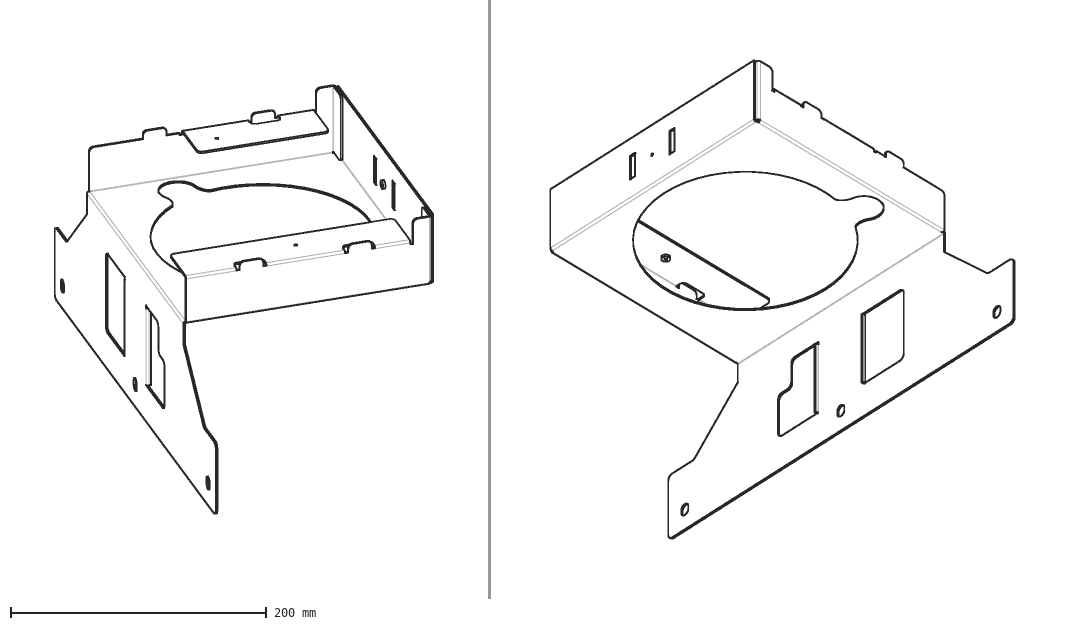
import cadquery as cq
import math


sheet = 1.5
bend_radius = 2.0
total_width = 387
total_depth = 207.5
total_height = 191.0
tray_height = 60.0
tray_half_width = 117.0
corner_radius = 4.0

floor_bottom = total_height - tray_height
floor_top = floor_bottom + sheet
wall_bottom = floor_bottom + bend_radius

plate_half_width = total_width / 2
neck_half_width = 115.7
shoulder_height = 63.5
shoulder_half_width = 165.0
plate_corner_radius = 4.5
plate_top = floor_top - bend_radius
mount_slot_x = 175.0
mount_slot_z = 19.7
mount_slot_width = 7.7
mount_slot_length = 11.0

window_inner = 25.0
window_outer = 70.5
window_bottom = 32.0
window_top = 102.0
step_inner = 55.7
step_height = 74.5
lip_top = 100.0
lip_depth = 4.0

opening_radius = 88.0
opening_y = 105.5
side_notch_x = -94.5
side_notch_y = 68.0
side_notch_radius = 15.5
notch_mouth_half_angle = 12.5
notch_blend_radius = 15.5

shelf_top = 173.0
shelf_inner = 77.5
shelf_back = 187.5
left_shelf_front = 79.0
wall_front = bend_radius
wall_top = shelf_top - bend_radius

tab_centers = (56.0, 146.0)
tab_width = 19.5
tab_top = 178.0
tab_corner_radius = 3.5
cutout_width = 24.8
cutout_depth = 9.3

back_half_width = 114.0
back_gap = 0.8
flange_back = total_depth - sheet - back_gap
flange_inner = 97.0
lug_front = 189.5
relief_width = lug_front - shelf_back
relief_bottom = 169.5
back_slot_x = 22.0
back_slot_z = 162.5
back_slot_width = 5.8
back_slot_height = 23.2

collar_radius = 3.5
collar_height = 2.0
screw_hole_radius = 1.0
shelf_hole_x = 95.0
shelf_hole_y = 100.2
back_hole_z = 161.5


def block(x_range, y_range, z_range):
    """Box between two limits on each axis, given in either order."""
    sizes = [abs(limits[1] - limits[0]) for limits in (x_range, y_range, z_range)]
    lows = [min(limits) for limits in (x_range, y_range, z_range)]
    return cq.Workplane("XY").box(*sizes, centered=False).translate(tuple(lows))


def bend(plane, corner, leg_u, leg_v, start, end):
    """Folded L section; the signed legs run from its outer corner along the plane's axes."""
    sign_u = math.copysign(1, leg_u)
    sign_v = math.copysign(1, leg_v)

    def at(u, v):
        return (corner[0] + sign_u * u, corner[1] + sign_v * v)

    inner_radius = bend_radius - sheet
    outer_mid = bend_radius - bend_radius * math.sqrt(0.5)
    inner_mid = bend_radius - inner_radius * math.sqrt(0.5)
    return (
        cq.Workplane(plane)
        .workplane(offset=start)
        .moveTo(*at(abs(leg_u), 0))
        .lineTo(*at(bend_radius, 0))
        .threePointArc(at(outer_mid, outer_mid), at(0, bend_radius))
        .lineTo(*at(0, abs(leg_v)))
        .lineTo(*at(sheet, abs(leg_v)))
        .lineTo(*at(sheet, bend_radius))
        .threePointArc(at(inner_mid, inner_mid), at(bend_radius, sheet))
        .lineTo(*at(abs(leg_u), sheet))
        .close()
        .extrude(end - start)
    )


def window_cutter(outline):
    """Prism through the mounting plate with every corner rounded except those at the lip."""
    cutter = cq.Workplane("ZX").polyline(outline).close().extrude(sheet)
    near_lip = cq.selectors.BoxSelector(
        (-window_inner - sheet, -4, 0), (window_inner + sheet, 4, total_height)
    )
    rounded = cq.StringSyntaxSelector("|Y") - near_lip
    return cutter.edges(rounded).fillet(plate_corner_radius)


def mounting_plate():
    slope_rise = shoulder_half_width - neck_half_width
    half_outline = [
        (0, plate_half_width),
        (shoulder_height, plate_half_width),
        (shoulder_height, shoulder_half_width),
        (shoulder_height + slope_rise, neck_half_width),
        (plate_top, neck_half_width),
    ]
    other_half = [(z, -x) for z, x in reversed(half_outline)]
    plate = cq.Workplane("ZX").polyline(half_outline + other_half).close().extrude(sheet)
    below_neck = cq.selectors.BoxSelector(
        (-total_width, -4, -4), (total_width, 4, shoulder_height + 4)
    )
    plate = plate.edges("|Y").edges(below_neck).fillet(plate_corner_radius)

    slots = (
        cq.Workplane("ZX")
        .pushPoints([(mount_slot_z, x) for x in (-mount_slot_x, 0, mount_slot_x)])
        .slot2D(mount_slot_length, mount_slot_width)
        .extrude(sheet)
    )
    left_window = window_cutter([
        (window_bottom, -window_inner),
        (window_top, -window_inner),
        (window_top, -window_outer),
        (window_bottom, -window_outer),
    ])
    right_window = window_cutter([
        (window_bottom, window_inner),
        (window_top, window_inner),
        (window_top, step_inner),
        (step_height, step_inner),
        (step_height, window_outer),
        (window_bottom, window_outer),
    ])
    plate = plate.cut(slots).cut(left_window).cut(right_window)

    for side in (-1, 1):
        lip_corner = (side * (window_inner + bend_radius), 0)
        plate = plate.union(
            bend("XY", lip_corner, -side * 2 * bend_radius, lip_depth, window_bottom, lip_top)
        )
    neck_bend = bend(
        "YZ", (0, floor_top), 2 * bend_radius, -2 * bend_radius, -neck_half_width, neck_half_width
    )
    return plate.union(neck_bend)


def tray_floor():
    flat_half_width = tray_half_width - bend_radius
    floor_back = total_depth - bend_radius
    floor = block(
        (-flat_half_width, flat_half_width), (bend_radius, floor_back), (floor_bottom, floor_top)
    )
    return floor.cut(floor_opening())


def floor_opening():
    """Round opening joined to a smaller round notch by a neck with rounded flanks.

    It is drawn about the opening's centre with its U axis pointing at the notch.
    """
    offset_x = side_notch_x
    offset_y = side_notch_y - opening_y
    notch_distance = math.hypot(offset_x, offset_y)
    axes = cq.Plane(
        origin=(0, opening_y, floor_bottom), xDir=(offset_x, offset_y, 0), normal=(0, 0, 1)
    )

    mouth_angle = math.radians(notch_mouth_half_angle)
    mouth_u = opening_radius * math.cos(mouth_angle)
    mouth_v = opening_radius * math.sin(mouth_angle)
    mouth_distance = math.hypot(notch_distance - mouth_u, mouth_v)
    mouth_direction = math.atan2(mouth_v, notch_distance - mouth_u)

    flank_distance = side_notch_radius + notch_blend_radius
    spread = math.acos(
        (flank_distance**2 + mouth_distance**2 - notch_blend_radius**2)
        / (2 * flank_distance * mouth_distance)
    )
    flank_u = notch_distance - flank_distance * math.cos(mouth_direction + spread)
    flank_v = flank_distance * math.sin(mouth_direction + spread)

    neck_outline = [
        (notch_distance, 0),
        (flank_u, flank_v),
        (mouth_u, mouth_v),
        (mouth_u, -mouth_v),
        (flank_u, -flank_v),
    ]
    neck = cq.Workplane(axes).polyline(neck_outline).close().extrude(sheet)
    flanks = (
        cq.Workplane(axes)
        .pushPoints([(flank_u, flank_v), (flank_u, -flank_v)])
        .circle(notch_blend_radius)
        .extrude(sheet)
    )
    opening = cq.Workplane(axes).circle(opening_radius).extrude(sheet)
    notch = cq.Workplane(axes).center(notch_distance, 0).circle(side_notch_radius).extrude(sheet)
    return neck.cut(flanks).union(opening).union(notch)


def screw_collar(workplane):
    """Cylinder standing on the sheet along the workplane's normal."""
    return workplane.circle(collar_radius).extrude(collar_height)


def screw_hole(workplane):
    return workplane.circle(screw_hole_radius).extrude(collar_height + sheet, both=True)


def back_wall():
    wall = bend(
        "YZ",
        (total_depth, floor_bottom),
        -2 * bend_radius,
        tray_height,
        -back_half_width,
        back_half_width,
    )
    slots = (
        cq.Workplane("ZX", origin=(0, total_depth - sheet, 0))
        .pushPoints([(back_slot_z, -back_slot_x), (back_slot_z, back_slot_x)])
        .rect(back_slot_height, back_slot_width)
        .extrude(sheet)
    )
    hole_plane = cq.Workplane("XZ", origin=(0, total_depth - sheet, back_hole_z))
    return wall.cut(slots).union(screw_collar(hole_plane)).cut(screw_hole(hole_plane))


def shelf(side, front):
    """Bent shelf on one side wall, with cut-outs that leave room for the tabs."""
    outer = side * tray_half_width
    inner = side * shelf_inner
    body = bend(
        "ZX",
        (shelf_top, outer),
        -2 * bend_radius,
        inner - outer,
        front,
        shelf_back,
    )
    free_corners = cq.selectors.BoxSelector(
        (inner - sheet, 0, wall_top), (inner + sheet, total_depth, shelf_top + sheet)
    )
    body = body.edges("|Z").edges(free_corners).fillet(corner_radius)
    for center in tab_centers:
        if center > front:
            cutout = block(
                (outer - side * cutout_depth, outer),
                (center - cutout_width / 2, center + cutout_width / 2),
                (wall_top, shelf_top),
            )
            inner_face = ">X" if side < 0 else "<X"
            body = body.cut(cutout.faces(inner_face).edges("|Z").fillet(corner_radius))
    hole_plane = cq.Workplane("XY", origin=(side * shelf_hole_x, shelf_hole_y, shelf_top - sheet))
    collar = screw_collar(hole_plane.transformed(rotate=(180, 0, 0)))
    return body.union(collar).cut(screw_hole(hole_plane))


def side_wall(side):
    """Upright wall with its floor bend, tabs, rear lug and return flange."""
    outer = side * tray_half_width
    thickness = (outer - side * sheet, outer)
    flange_start = flange_back - bend_radius

    wall = block(thickness, (wall_front, flange_start), (wall_bottom, wall_top))
    if side < 0:
        wall = wall.edges("|X and >Z and <Y").fillet(corner_radius)
    lug = block(thickness, (lug_front, flange_start), (wall_top, total_height))
    wall = wall.union(lug.edges("|X and >Z and <Y").fillet(corner_radius))
    for center in tab_centers:
        tab = block(
            thickness, (center - tab_width / 2, center + tab_width / 2), (wall_top, tab_top)
        )
        wall = wall.union(tab.edges("|X and >Z").fillet(tab_corner_radius))

    floor_bend = bend(
        "ZX", (floor_bottom, outer), 2 * bend_radius, -side * 2 * bend_radius,
        wall_front, flange_start,
    )
    flange = bend(
        "XY",
        (outer, flange_back),
        side * flange_inner - outer,
        -2 * bend_radius,
        wall_bottom,
        total_height,
    )
    free_edge = "<X" if side > 0 else ">X"
    flange = flange.faces(free_edge).edges("|Y").fillet(corner_radius)
    return wall.union(floor_bend).union(flange)


def shelf_relief(side, start):
    """Small notch in a side wall at the end of a shelf."""
    outer = side * tray_half_width
    return block(
        (outer - side * sheet, outer), (start, start + relief_width), (relief_bottom, wall_top)
    )


result = mounting_plate().union(tray_floor()).union(back_wall())
for side, shelf_front in ((-1, left_shelf_front), (1, wall_front)):
    result = result.union(side_wall(side)).union(shelf(side, shelf_front))
    result = result.cut(shelf_relief(side, shelf_back))
result = result.cut(shelf_relief(-1, left_shelf_front - relief_width))
result = result.clean()